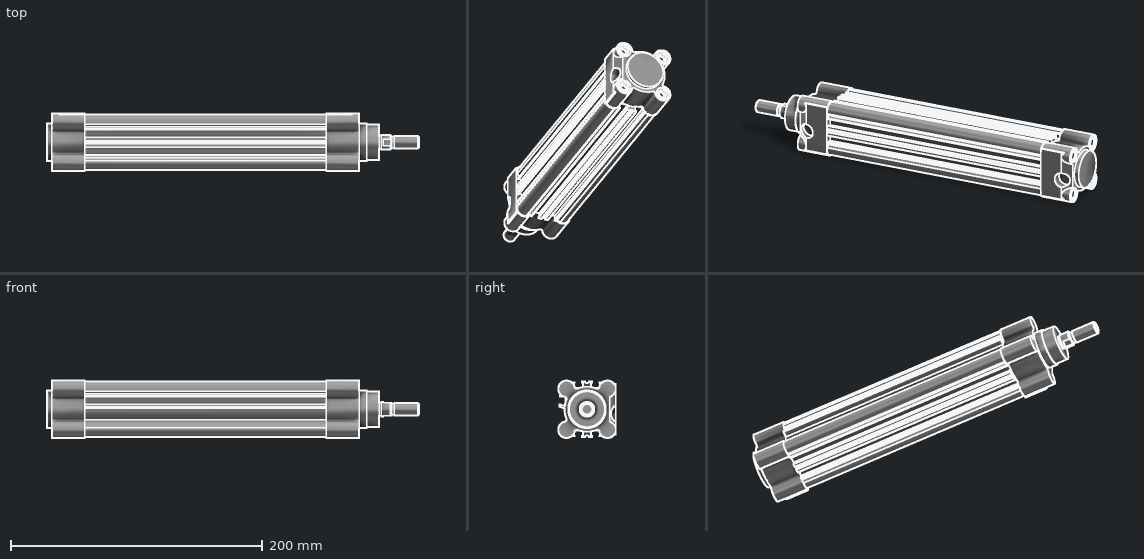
import cadquery as cq
import math

TOTAL_LENGTH = 296.0
SQUARE = 46.0
HALF_SQUARE = SQUARE / 2
SCREW_OFFSET = 16.3
LOBE_RADIUS = HALF_SQUARE - SCREW_OFFSET

REAR_CAP_START = 3.8
CAP_LENGTH = 26.3
TUBE_START = REAR_CAP_START + CAP_LENGTH
TUBE_LENGTH = 191.8
FRONT_CAP_START = TUBE_START + TUBE_LENGTH
FRONT_CAP_END = FRONT_CAP_START + CAP_LENGTH

CAP_ROUND_RADIUS = 18.0
WEB_FILLET = 1.5
COLLAR_RADIUS = 15.0
COLLAR_LENGTH = 6.2
NOSE_RADIUS = 14.2
NOSE_LENGTH = 9.8
NOSE_END = FRONT_CAP_END + COLLAR_LENGTH + NOSE_LENGTH

SCREW_RECESS_RADIUS = 5.0
SCREW_RECESS_DEPTH = 0.5
SOCKET_RADIUS = 3.3
SOCKET_DEPTH = 3.5
CONE_RADIUS = 2.5
CONE_DEPTH = 1.8

PORT_BLOCK_HALF_HEIGHT = 20.0
PORT_BLOCK_ROOT = 14.8
PORT_RAMP_LENGTH = 7.7
PORT_RADIUS = 6.0
PORT_DEPTH = 7.5
PORT_FROM_END = 7.7
PORT_Z = -3.5

TUBE_HALF = 22.2
TUBE_CORNER_RADIUS = 6.0
TUBE_CORE_RADIUS = CAP_ROUND_RADIUS
SLOT_FLOOR = 17.2
LIP_THICKNESS = 1.2
SLOT_INNER = 3.3
SLOT_OUTER = 10.0
MOUTH_INNER = 4.0
MOUTH_OUTER = 9.8
GROOVE_START = 10.7
GROOVE_BOTTOM = 12.5
GROOVE_END = 14.5
GROOVE_DEPTH = 2.0
LIP_DROP = 0.5
RIB_GROOVE_HALF_WIDTH = 1.33
RIB_GROOVE_DEPTH = 1.0
RIB_GROOVE_DIP = 0.45
RIB_TIP = 2.0
RIB_ROOT = 0.75
SLOTTED_SIDES = (0, 180, 270)
OPEN_SIDE = 90

ROD_RADIUS = 5.3
HEAD_START = 265.8
HEAD_END = 274.0
HEAD_RADIUS = 6.0
HEAD_CHAMFER = 1.0
FLAT_START = 267.5
FLAT_HALF_WIDTH = 5.3
NECK_RADIUS = 4.5
THREAD_START = 276.5
THREAD_RADIUS = 5.0
THREAD_CHAMFER = 1.0

CORNERS = [(y, z) for y in (-1, 1) for z in (-1, 1)]


def disc(start, length, radius, y=0.0, z=0.0):
    """Solid cylinder along X."""
    plane = cq.Workplane("YZ", origin=(start, 0, 0))
    return plane.center(y, z).circle(radius).extrude(length)


def bar(start, length, points):
    """Solid bar along X with a straight-sided (y, z) section."""
    return cq.Workplane("YZ", origin=(start, 0, 0)).polyline(points).close().extrude(length)


def cap_web(start, y_side, z_side):
    """Joins one lobe to the round middle, with a concave fillet on each flank.

    The corners of the section are the cylinder axis, the lobe centre and the two fillet centres.
    """
    to_lobe = math.hypot(SCREW_OFFSET, SCREW_OFFSET)
    to_fillet = CAP_ROUND_RADIUS + WEB_FILLET
    lobe_to_fillet = LOBE_RADIUS + WEB_FILLET
    swing = math.acos((to_lobe**2 + to_fillet**2 - lobe_to_fillet**2) / (2 * to_lobe * to_fillet))
    fillet_angle = math.pi / 4 - swing
    near = to_fillet * math.sin(fillet_angle)
    far = to_fillet * math.cos(fillet_angle)
    fillet_centres = [(y_side * far, z_side * near), (y_side * near, z_side * far)]
    lobe_centre = (y_side * SCREW_OFFSET, z_side * SCREW_OFFSET)
    web = bar(start, CAP_LENGTH, [(0, 0), fillet_centres[0], lobe_centre, fillet_centres[1]])
    for y, z in fillet_centres:
        web = web.cut(disc(start, CAP_LENGTH, WEB_FILLET, y, z))
    return web


def port_block(inner_x, outer_x):
    """Block on the +Y side; it ramps down to the round middle at the outer end of the cap."""
    toward_inner = math.copysign(1, inner_x - outer_x)
    ramp_top = outer_x + toward_inner * PORT_RAMP_LENGTH
    section = [
        (inner_x, PORT_BLOCK_ROOT),
        (inner_x, HALF_SQUARE),
        (ramp_top, HALF_SQUARE),
        (outer_x, CAP_ROUND_RADIUS),
        (outer_x, PORT_BLOCK_ROOT),
    ]
    return cq.Workplane("XY").polyline(section).close().extrude(PORT_BLOCK_HALF_HEIGHT, both=True)


def cap_body(inner_x, outer_x):
    """Lobed block shared by both caps, with its port block and port."""
    start = min(inner_x, outer_x)
    cap = disc(start, CAP_LENGTH, CAP_ROUND_RADIUS)
    for y_side, z_side in CORNERS:
        cap = cap.union(cap_web(start, y_side, z_side))
        lobe = disc(start, CAP_LENGTH, LOBE_RADIUS, y_side * SCREW_OFFSET, z_side * SCREW_OFFSET)
        cap = cap.union(lobe)
    cap = cap.union(port_block(inner_x, outer_x))
    port_x = outer_x + math.copysign(PORT_FROM_END, inner_x - outer_x)
    port = (
        cq.Workplane("XZ", origin=(port_x, HALF_SQUARE, PORT_Z))
        .circle(PORT_RADIUS)
        .extrude(PORT_DEPTH)
    )
    return cap.cut(port)


def screw_recess():
    """Shallow round recess, a round socket and its conical bottom, on the X axis."""
    recess = disc(REAR_CAP_START, SCREW_RECESS_DEPTH, SCREW_RECESS_RADIUS)
    socket = disc(REAR_CAP_START, SOCKET_DEPTH, SOCKET_RADIUS)
    cone_base = cq.Vector(REAR_CAP_START + SOCKET_DEPTH, 0, 0)
    cone = cq.Solid.makeCone(CONE_RADIUS, 0, CONE_DEPTH, cone_base, cq.Vector(1, 0, 0))
    return recess.union(socket).union(cq.Workplane(cone))


def make_rear_cap():
    cap = cap_body(TUBE_START, REAR_CAP_START).union(disc(0, REAR_CAP_START, COLLAR_RADIUS))
    for y_side, z_side in CORNERS:
        cap = cap.cut(screw_recess().translate((0, y_side * SCREW_OFFSET, z_side * SCREW_OFFSET)))
    return cap


def make_front_cap():
    collar = disc(FRONT_CAP_END, COLLAR_LENGTH, COLLAR_RADIUS)
    nose = disc(FRONT_CAP_END + COLLAR_LENGTH, NOSE_LENGTH, NOSE_RADIUS)
    rod_bore = disc(FRONT_CAP_START, NOSE_END - FRONT_CAP_START, ROD_RADIUS)
    return cap_body(FRONT_CAP_START, FRONT_CAP_END).union(collar).union(nose).cut(rod_bore)


def tube_cutter(points):
    return bar(TUBE_START, TUBE_LENGTH, points)


def t_slot():
    """Undercut slot on one side of the middle, with an off-centre mouth."""
    lip = TUBE_HALF - LIP_THICKNESS
    return tube_cutter([
        (SLOT_INNER, SLOT_FLOOR),
        (SLOT_OUTER, SLOT_FLOOR),
        (SLOT_OUTER, lip),
        (MOUTH_OUTER, lip),
        (MOUTH_OUTER, TUBE_HALF),
        (MOUTH_INNER, TUBE_HALF),
        (MOUTH_INNER, lip),
        (SLOT_INNER, lip),
    ])


def lip_groove():
    """V-groove beside the corner; its inner edge also lowers the slot lip."""
    lip = TUBE_HALF - LIP_DROP
    return tube_cutter([
        (MOUTH_OUTER, TUBE_HALF),
        (MOUTH_OUTER, lip),
        (GROOVE_START, lip),
        (GROOVE_BOTTOM, TUBE_HALF - GROOVE_DEPTH),
        (GROOVE_END, TUBE_HALF),
    ])


def rib_groove():
    """Groove along the top of a T-rib, with a shallow V bottom."""
    edge = TUBE_HALF - RIB_GROOVE_DEPTH
    return tube_cutter([
        (-RIB_GROOVE_HALF_WIDTH, TUBE_HALF),
        (-RIB_GROOVE_HALF_WIDTH, edge),
        (0, edge - RIB_GROOVE_DIP),
        (RIB_GROOVE_HALF_WIDTH, edge),
        (RIB_GROOVE_HALF_WIDTH, TUBE_HALF),
    ])


def side_half():
    """One T-slot with the V-groove beside it."""
    return t_slot().union(lip_groove())


def slotted_side():
    """Two T-slots with a grooved T-rib between them."""
    half = side_half()
    return half.union(half.mirror("XZ")).union(rib_groove())


def open_side():
    """One T-slot, then a wide recess with a round floor and a 45 degree flank."""
    recess = tube_cutter([
        (-GROOVE_END, TUBE_HALF),
        (RIB_TIP, TUBE_HALF),
        (RIB_ROOT, TUBE_CORE_RADIUS),
        (RIB_ROOT, TUBE_HALF - GROOVE_END - RIB_ROOT),
    ])
    core = disc(TUBE_START, TUBE_LENGTH, TUBE_CORE_RADIUS)
    return side_half().union(recess.cut(core))


def turned(cutter, angle):
    return cutter.rotate((0, 0, 0), (1, 0, 0), angle)


def make_tube():
    tube = (
        cq.Workplane("YZ", origin=(TUBE_START, 0, 0))
        .rect(2 * TUBE_HALF, 2 * TUBE_HALF)
        .extrude(TUBE_LENGTH)
        .edges("|X")
        .fillet(TUBE_CORNER_RADIUS)
    )
    for angle in SLOTTED_SIDES:
        tube = tube.cut(turned(slotted_side(), angle))
    return tube.cut(turned(open_side(), OPEN_SIDE))


def make_rod():
    shank = disc(FRONT_CAP_START, HEAD_START - FRONT_CAP_START, ROD_RADIUS)
    head = disc(HEAD_START, HEAD_END - HEAD_START, HEAD_RADIUS).faces(">X").chamfer(HEAD_CHAMFER)
    for side in (-1, 1):
        flat = cq.Workplane("XY").box(
            HEAD_END - FLAT_START, 2 * HEAD_RADIUS, HEAD_RADIUS, centered=(False, True, True)
        )
        head = head.cut(flat.translate((FLAT_START, 0, side * (FLAT_HALF_WIDTH + HEAD_RADIUS / 2))))
    neck = disc(HEAD_END, THREAD_START - HEAD_END, NECK_RADIUS)
    thread = disc(THREAD_START, TOTAL_LENGTH - THREAD_START, THREAD_RADIUS)
    thread = thread.faces(">X").chamfer(THREAD_CHAMFER)
    return shank.union(head).union(neck).union(thread)


rear_cap = make_rear_cap()
tube = make_tube()
front_cap = make_front_cap()
rod = make_rod()

result = cq.Compound.makeCompound([rear_cap.val(), tube.val(), front_cap.val(), rod.val()])